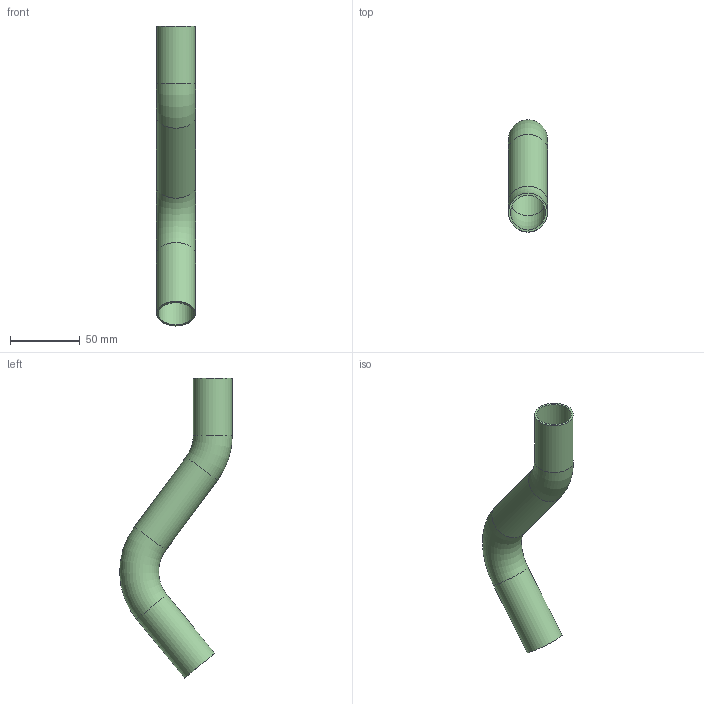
import cadquery as cq
import math

outer_diameter = 28.0
wall = 1.5
inner_diameter = outer_diameter - 2 * wall

bend_radius = 40.0
upper_length = 41.2
middle_length = 62.5
lower_length = 54.45
upper_tilt = 36.5
lower_tilt = 39.2


def heading(angle):
    """Downward unit direction leaning by angle (degrees) towards +Y."""
    lean = math.radians(angle)
    return math.sin(lean), -math.cos(lean)


def run_end(start, angle, length):
    """End point of a straight run."""
    along_y, along_z = heading(angle)
    return start[0] + length * along_y, start[1] + length * along_z


def bend_point(start, start_angle, angle):
    """Point on a bend, tangent to start_angle, where the heading has turned to angle."""
    radius = math.copysign(bend_radius, angle - start_angle)
    start_y, start_z = heading(start_angle)
    end_y, end_z = heading(angle)
    return start[0] + radius * (end_z - start_z), start[1] - radius * (end_y - start_y)


def centreline():
    """Three straight runs joined by two tangent bends in opposite directions."""
    top = (0.0, 0.0)
    upper_end = run_end(top, 0.0, upper_length)
    upper_bend_middle = bend_point(upper_end, 0.0, upper_tilt / 2)
    middle_start = bend_point(upper_end, 0.0, upper_tilt)
    middle_end = run_end(middle_start, upper_tilt, middle_length)
    lower_bend_middle = bend_point(middle_end, upper_tilt, (upper_tilt - lower_tilt) / 2)
    lower_start = bend_point(middle_end, upper_tilt, -lower_tilt)
    bottom = run_end(lower_start, -lower_tilt, lower_length)
    return (
        cq.Workplane("YZ")
        .moveTo(*top)
        .lineTo(*upper_end)
        .threePointArc(upper_bend_middle, middle_start)
        .lineTo(*middle_end)
        .threePointArc(lower_bend_middle, lower_start)
        .lineTo(*bottom)
    )


def tube(path):
    """Annular section swept along the path."""
    section = cq.Workplane("XY").circle(outer_diameter / 2).circle(inner_diameter / 2)
    return section.sweep(path)


result = tube(centreline())